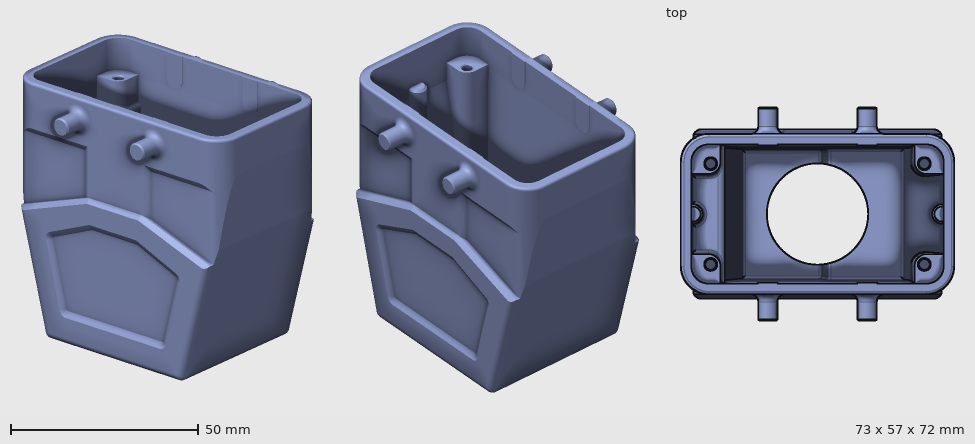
import cadquery as cq
import math

height = 72.0
rim_length = 73.0
rim_width = 42.8
rim_corner_radius = 7.5
rim_edge_radius = 0.8
upper_bottom = 28.0
bottom_length = 48.0

end_taper_top = 61.0
end_bend_height = 40.0
end_bend_half_length = 34.2
end_bend_radius = 6.0
end_slope = (end_bend_half_length - bottom_length / 2) / end_bend_height

lower_width = 45.3
shoulder_half_length = 9.2
shoulder_center_height = 44.3
shoulder_end_height = 35.9
shoulder_chamfer = 1.3
lower_edge_radius = 2.0

recess_depth = 1.0
recess_side_width = 1.7
recess_blend_radius = 3.0
recess_taper = math.degrees(math.atan(recess_side_width / recess_depth))
side_recess_top = 58.9
side_recess_inner_x = 9.9
panel_top_half_length = 8.2
panel_top_height = 37.1
panel_shoulder_half_length = 23.8
panel_shoulder_height = 30.6
panel_bottom_half_length = 18.2
panel_bottom_height = 8.0
panel_corner_radius = 2.2

peg_x = 13.25
peg_height = 65.7
peg_radius = 2.6
peg_root_radius = 2.0
peg_span = 57.0
peg_tip_chamfer = 0.4

wall = 2.8
mouth_length = rim_length - 2 * wall
mouth_width = rim_width - 2 * wall
mouth_corner_radius = rim_corner_radius - wall
mouth_bottom = 62.0
low_floor = 3.0
high_floor = 14.5
floor_width = 34.4
end_wall_thickness = 4.8
floor_step_x = 1.0
floor_step_run = 1.8
floor_fillet = 0.8
cable_hole_diameter = 27.0

post_top = 62.7
post_inner_x = 25.9
post_inner_y = 10.7
post_corner_radius = 3.2
post_taper = 1.5
screw_x = 28.5
screw_y = 13.45
screw_hole_diameter = 2.9
screw_hole_depth = 12.0
screw_hole_chamfer = 0.3

ledge_top = 55.0
ledge_edge_x = -24.8
ledge_edge_radius = 1.8
ledge_root_radius = 1.0
ledge_tolerance = 0.1
rib_radius = 2.6
rib_center_x = 33.2
rib_top = 60.3
rib_chamfer = 0.6
pad_width = 5.4
pad_bottom = 62.0
pad_thickness = 0.2


def end_half_length(z):
    """Half length of the lower, sloped part of the hood at height z."""
    return bottom_length / 2 + end_slope * z


def mirrored_outline(right_half):
    """Closed XZ outline from its +X half, listed from bottom to top."""
    left_half = [(-x, z) for x, z in reversed(right_half)]
    return cq.Workplane("XZ").polyline(right_half + left_half).close()


def upper_body():
    """Rounded rectangular rim section, narrowed toward the bottom at both ends."""
    block = (
        cq.Workplane("XY", origin=(0, 0, upper_bottom))
        .rect(rim_length, rim_width).extrude(height - upper_bottom)
        .edges("|Z").fillet(rim_corner_radius)
    )
    silhouette = mirrored_outline([
        (bottom_length / 2, 0),
        (end_bend_half_length, end_bend_height),
        (rim_length / 2, end_taper_top),
        (rim_length / 2, height),
    ]).extrude(rim_width / 2, both=True)
    silhouette = silhouette.edges("|Y").filter(
        lambda edge: abs(edge.Center().z - end_bend_height) < 1
    ).fillet(end_bend_radius)
    return block.intersect(silhouette).faces(">Z").edges().fillet(rim_edge_radius)


def side_recess(side):
    """Sloped cutter for the recess in the -Y face, on the +X or -X side."""
    recess_bottom = upper_bottom - recess_side_width
    outline = [
        (side * side_recess_inner_x, recess_bottom),
        (side * side_recess_inner_x, side_recess_top),
        (side * rim_length, side_recess_top),
        (side * rim_length, recess_bottom),
    ]
    return (
        cq.Workplane("XZ", origin=(0, -rim_width / 2, 0))
        .polyline(outline).close().extrude(-recess_depth, taper=recess_taper)
    )


def cut_side_recesses(body):
    """Cut the four side recesses and blend their flats into the rounded corners."""
    for side in (1, -1):
        recess = side_recess(side)
        body = body.cut(recess).cut(recess.mirror("XZ"))
    return body.edges("|Z").edges(
        cq.selectors.BoxSelector(
            (-rim_length, -rim_width, 0), (rim_length, rim_width, side_recess_top)
        )
    ).filter(lambda edge: abs(edge.Center().x) > post_inner_x).fillet(recess_blend_radius)


def lower_body():
    """Thicker five-sided body with a sloped shoulder and rounded side and bottom edges."""
    body = mirrored_outline([
        (bottom_length / 2, 0),
        (end_half_length(shoulder_end_height), shoulder_end_height),
        (shoulder_half_length, shoulder_center_height),
    ]).extrude(lower_width / 2, both=True)
    shoulder = body.faces("|Y").edges().filter(lambda edge: edge.Center().z > shoulder_end_height)
    body = shoulder.chamfer(shoulder_chamfer)
    side_edges = body.faces("|Y").edges().filter(
        lambda edge: edge.Center().z < shoulder_end_height / 2 + 1
    )
    return side_edges.add(body.edges("<Z and |Y")).fillet(lower_edge_radius)


def panel_recess():
    """Sloped five-sided cutter with rounded corners for the -Y face."""
    right_half = [
        (panel_bottom_half_length, panel_bottom_height),
        (panel_shoulder_half_length, panel_shoulder_height),
        (panel_top_half_length, panel_top_height),
    ]
    left_half = [(-x, z) for x, z in reversed(right_half)]
    corners = right_half + left_half
    outline = cq.Sketch().polygon(corners + corners[:1]).vertices().fillet(panel_corner_radius)
    return (
        cq.Workplane("XZ", origin=(0, -lower_width / 2, 0))
        .placeSketch(outline).extrude(-recess_depth, taper=recess_taper)
    )


def peg(x):
    """Peg on the -Y face with a flared root, turned about its own axis."""
    root = rim_width / 2
    tip = peg_span / 2
    buried = root - wall / 2
    half_section = (
        cq.Workplane("XY")
        .moveTo(0, buried)
        .lineTo(peg_radius + peg_root_radius, buried)
        .lineTo(peg_radius + peg_root_radius, root)
        .radiusArc((peg_radius, root + peg_root_radius), peg_root_radius)
        .lineTo(peg_radius, tip - peg_tip_chamfer)
        .lineTo(peg_radius - peg_tip_chamfer, tip)
        .lineTo(0, tip)
        .close()
    )
    turned = half_section.revolve(360, (0, 0, 0), (0, 1, 0))
    return turned.mirror("XZ").translate((x, 0, peg_height))


def inner_half_length(z):
    """Half length of the sloped part of the cavity at height z."""
    return end_half_length(z) - end_wall_thickness


def lower_cavity():
    """Tapered space below the mouth, with a low floor on -X and a high floor on +X."""
    slope_top = (mouth_length / 2 - inner_half_length(0)) / end_slope
    high_step_x = floor_step_x + floor_step_run
    profile = cq.Workplane("XZ").polyline([
        (-mouth_length / 2, mouth_bottom),
        (-mouth_length / 2, slope_top),
        (-inner_half_length(low_floor), low_floor),
        (floor_step_x, low_floor),
        (high_step_x, high_floor),
        (inner_half_length(high_floor), high_floor),
        (mouth_length / 2, slope_top),
        (mouth_length / 2, mouth_bottom),
    ]).close().extrude(mouth_width, both=True)
    cross_section = cq.Workplane("YZ").polyline([
        (-floor_width / 2, low_floor),
        (floor_width / 2, low_floor),
        (mouth_width / 2, mouth_bottom),
        (-mouth_width / 2, mouth_bottom),
    ]).close().extrude(mouth_length, both=True)
    space = profile.intersect(cross_section)
    lower_edges = space.edges().filter(lambda edge: edge.Center().z < high_floor + 1)
    return lower_edges.fillet(floor_fillet)


def mouth():
    """Straight-walled opening at the top of the cavity."""
    return (
        cq.Workplane("XY", origin=(0, 0, mouth_bottom))
        .rect(mouth_length, mouth_width).extrude(height - mouth_bottom)
        .edges("|Z").fillet(mouth_corner_radius)
    )


def screw_post(side_x, side_y):
    """Corner post that widens downward; its outer sides run into the hood walls."""
    far = rim_length
    outline = (
        cq.Sketch()
        .push([((post_inner_x + far) / 2 * side_x, (post_inner_y + far) / 2 * side_y)])
        .rect(far - post_inner_x, far - post_inner_y)
        .reset().vertices().fillet(post_corner_radius)
    )
    return (
        cq.Workplane("XY", origin=(0, 0, post_top))
        .placeSketch(outline).extrude(-(post_top - low_floor), taper=-post_taper)
    )


def screw_holes():
    """Blind holes in the post tops, each with a small chamfer at its mouth."""
    centers = [(x, y) for x in (-screw_x, screw_x) for y in (-screw_y, screw_y)]
    top = cq.Workplane("XY", origin=(0, 0, post_top)).pushPoints(centers)
    holes = top.circle(screw_hole_diameter / 2).extrude(-screw_hole_depth)
    chamfers = (
        cq.Workplane("XY", origin=(0, 0, post_top)).pushPoints(centers)
        .circle(screw_hole_diameter / 2 + screw_hole_chamfer)
        .extrude(-screw_hole_chamfer, taper=45)
    )
    return holes.union(chamfers)


def ledge():
    """Solid step between the -X posts, with a rounded upper edge."""
    start_x = -rim_length / 2
    return (
        cq.Workplane("XY", origin=((start_x + ledge_edge_x) / 2, 0, 0))
        .rect(ledge_edge_x - start_x, mouth_width).extrude(ledge_top)
        .edges(">X and >Z").fillet(ledge_edge_radius)
    )


def end_rib(side):
    """Upright round rib on the middle of an end wall."""
    return (
        cq.Workplane("XY").center(side * rib_center_x, 0)
        .circle(rib_radius).extrude(rib_top)
        .faces(">Z").chamfer(rib_chamfer)
    )


def peg_pad(x, side):
    """Thin round-ended pad on the inside of the mouth, behind a peg."""
    half_pad = pad_width / 2
    arc_center = pad_bottom + half_pad
    pad = (
        cq.Workplane("XZ", origin=(x, mouth_width / 2, 0))
        .moveTo(-half_pad, height)
        .lineTo(-half_pad, arc_center)
        .threePointArc((0, pad_bottom), (half_pad, arc_center))
        .lineTo(half_pad, height)
        .close()
        .extrude(pad_thickness)
    )
    return pad if side > 0 else pad.mirror("XZ")


def blend_ledge(space):
    """Round the inner corners where the ledge meets the end wall, rib and posts."""
    def is_ledge_corner(edge):
        center = edge.Center()
        at_ledge_top = abs(center.z - ledge_top) < ledge_tolerance
        return at_ledge_top and center.x < ledge_edge_x - ledge_edge_radius - ledge_tolerance

    return space.edges().filter(is_ledge_corner).fillet(ledge_root_radius)


def cavity():
    """Everything to remove from inside the hood."""
    space = lower_cavity().union(mouth())
    for side_x in (-1, 1):
        space = space.cut(end_rib(side_x))
        for side_y in (-1, 1):
            space = space.cut(screw_post(side_x, side_y))
            space = space.cut(peg_pad(side_x * peg_x, side_y))
    return blend_ledge(space.cut(ledge()))


def hood():
    """Complete hood with its pegs, recesses, cavity and holes."""
    body = cut_side_recesses(upper_body()).union(lower_body())
    body = body.cut(panel_recess()).cut(panel_recess().mirror("XZ"))
    for x in (-peg_x, peg_x):
        body = body.union(peg(x)).union(peg(x).mirror("XZ"))
    body = body.cut(cavity()).cut(screw_holes())
    cable_hole = cq.Workplane("XY").circle(cable_hole_diameter / 2).extrude(mouth_bottom)
    return body.cut(cable_hole)


result = hood()